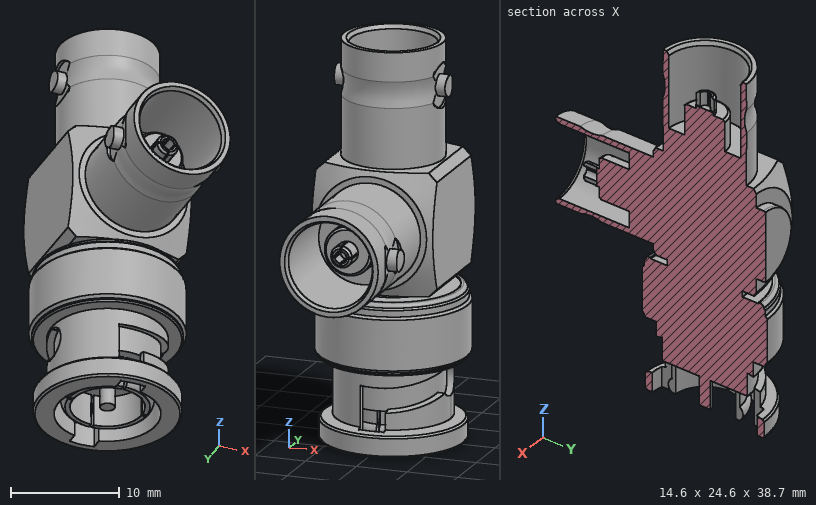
import cadquery as cq
import math


cube_size = 12.0
cube_half = cube_size / 2
cube_chamfer = 0.8
turned_face_radius = 5.5
turned_cone_angle = 30.0

cap_radius = 4.0
cap_end = 7.07
cap_bevel_length = 0.27
cap_bevel_depth = 0.08

jack_end = 17.28
jack_radius = 4.87
jack_bore_radius = 4.15
jack_bore_depth = 8.5
jack_mouth_radius = 4.35
jack_mouth_depth = 0.43
groove_width = 2.55
groove_depth = 0.25
lug_offset = 4.1
lug_radius = 1.05
lug_reach = 5.55
lug_seat_radius = 2.15
lug_seat_distance = 4.55

insulator_radius = 2.35
insulator_depth = 5.02
insulator_chamfer = 0.25
contact_radius = 1.05
contact_depth = 3.15
contact_chamfer = 0.25
contact_hole_radius = 0.58
contact_slit_width = 0.15
contact_slit_depth = 1.55

plug_end = -21.37
neck_radius = 4.4
nut_radius = 7.3
nut_step_radius = 7.05
nut_collar_radius = 6.88
nut_round = 0.4
nut_top = -6.45
nut_step_top = -7.05
nut_step_bottom = -7.65
nut_band_top = -7.9
nut_band_bottom = -12.8
nut_bottom = -13.37
nut_bevel = nut_radius - nut_step_radius
nut_foot_bevel = 0.15
nut_recess_radius = 6.25
nut_recess_depth = 0.1
barrel_radius = 5.65
flange_radius = 6.9
flange_root = -19.0
flange_shoulder = -19.3
flange_bevel = 0.2

plug_bore_radius = 4.95
plug_bore_top = -17.45
sleeve_radius = 3.95
sleeve_inner_radius = 3.48
sleeve_bead_radius = 4.33
sleeve_bead_top = -19.05
sleeve_end = -20.65
sleeve_slit_width = 0.27
pin_radius = 0.7

entry_width = 2.47
entry_top = -15.0
entry_radius = 6.03
ramp_angle = 15.0
ramp_top_at_detent = -13.53
ramp_bottom_at_detent = -15.92
detent_radius = 1.6
detent_height = -15.2


def turned(points):
    """Solid of revolution about Z from a closed outline of (radius, height) points."""
    return cq.Workplane("XZ").polyline(points).close().revolve(360, (0, 0), (0, 1))


def cylinder(radius, bottom, top):
    return cq.Workplane("XY", origin=(0, 0, bottom)).circle(radius).extrude(top - bottom)


def make_cube():
    """Cube with its four long edges chamfered and both Y faces turned to a cone."""
    cube = cq.Workplane("XY").box(cube_size, cube_size, cube_size).edges("|Y").chamfer(cube_chamfer)
    envelope_radius = cube_size
    cone_drop = (envelope_radius - turned_face_radius) * math.tan(math.radians(turned_cone_angle))
    envelope = turned([
        (0, -cube_half),
        (turned_face_radius, -cube_half),
        (envelope_radius, -cube_half + cone_drop),
        (envelope_radius, cube_half - cone_drop),
        (turned_face_radius, cube_half),
        (0, cube_half),
    ])
    return cube.intersect(envelope.rotate((0, 0, 0), (1, 0, 0), 90))


def make_cap():
    cap = turned([
        (0, 0),
        (cap_radius, 0),
        (cap_radius, cap_end - cap_bevel_length),
        (cap_radius - cap_bevel_depth, cap_end),
        (0, cap_end),
    ])
    return cap.rotate((0, 0, 0), (1, 0, 0), -90)


def make_jack_shell():
    """Tube with a flared mouth, a shallow round groove and two flat lug seats."""
    bore_floor = jack_end - jack_bore_depth
    lug_height = jack_end - lug_offset
    groove_top = lug_height + groove_width / 2
    groove_bottom = lug_height - groove_width / 2
    shell = (
        cq.Workplane("XZ")
        .moveTo(0, 0)
        .lineTo(jack_radius, 0)
        .lineTo(jack_radius, groove_bottom)
        .threePointArc((jack_radius - groove_depth, lug_height), (jack_radius, groove_top))
        .lineTo(jack_radius, jack_end)
        .lineTo(jack_mouth_radius, jack_end)
        .lineTo(jack_bore_radius, jack_end - jack_mouth_depth)
        .lineTo(jack_bore_radius, bore_floor)
        .lineTo(0, bore_floor)
        .close()
        .revolve(360, (0, 0), (0, 1))
    )
    for side in (1, -1):
        seat_plane = cq.Workplane("YZ", origin=(side * lug_seat_distance, 0, lug_height))
        shell = shell.cut(seat_plane.circle(lug_seat_radius).extrude(side * jack_radius))
    return shell


def make_lugs():
    """Two bayonet lugs whose ends follow a cylinder about the jack axis."""
    lug_height = jack_end - lug_offset
    bar = cq.Workplane("YZ", origin=(0, 0, lug_height)).circle(lug_radius).extrude(lug_reach, both=True)
    bottom = lug_height - lug_radius
    top = lug_height + lug_radius
    wall_middle = (jack_bore_radius + lug_seat_distance) / 2
    return bar.intersect(cylinder(lug_reach, bottom, top)).cut(cylinder(wall_middle, bottom, top))


def make_jack_core():
    """Insulator post with a slit socket contact standing out of it."""
    bore_floor = jack_end - jack_bore_depth
    insulator_end = jack_end - insulator_depth
    contact_end = jack_end - contact_depth
    slit_floor = contact_end - contact_slit_depth
    insulator = cylinder(insulator_radius, bore_floor, insulator_end).faces(">Z").chamfer(insulator_chamfer)
    contact = cylinder(contact_radius, bore_floor, contact_end).faces(">Z").chamfer(contact_chamfer)
    contact = contact.cut(cylinder(contact_hole_radius, slit_floor, contact_end))
    slit = cq.Workplane("XY", origin=(0, 0, slit_floor)).rect(2 * contact_radius, contact_slit_width)
    slit = slit.extrude(contact_slit_depth)
    for angle in (0, 90):
        contact = contact.cut(slit.rotate((0, 0, 0), (0, 0, 1), angle))
    return insulator.union(contact)


def make_jack():
    return make_jack_shell().union(make_lugs()).union(make_jack_core())


def make_plug_body():
    """Neck, coupling nut, barrel and flange as one turned solid, open at the bottom."""
    recess_floor = nut_top - nut_recess_depth
    round_centre_radius = nut_collar_radius - nut_round
    round_centre_height = nut_top - nut_round
    round_middle = nut_round * math.sin(math.radians(45))
    return (
        cq.Workplane("XZ")
        .moveTo(0, 0)
        .lineTo(neck_radius, 0)
        .lineTo(neck_radius, recess_floor)
        .lineTo(nut_recess_radius, recess_floor)
        .lineTo(nut_recess_radius, nut_top)
        .lineTo(round_centre_radius, nut_top)
        .threePointArc(
            (round_centre_radius + round_middle, round_centre_height + round_middle),
            (nut_collar_radius, round_centre_height),
        )
        .lineTo(nut_step_radius, nut_step_top)
        .lineTo(nut_step_radius, nut_step_bottom)
        .lineTo(nut_radius, nut_band_top)
        .lineTo(nut_radius, nut_band_bottom)
        .lineTo(nut_step_radius, nut_band_bottom - nut_bevel)
        .lineTo(nut_step_radius, nut_bottom + nut_foot_bevel)
        .lineTo(nut_step_radius - nut_foot_bevel, nut_bottom)
        .lineTo(barrel_radius, nut_bottom)
        .lineTo(barrel_radius, flange_root)
        .lineTo(flange_radius - flange_bevel, flange_shoulder)
        .lineTo(flange_radius, flange_shoulder - flange_bevel)
        .lineTo(flange_radius, plug_end + flange_bevel)
        .lineTo(flange_radius - flange_bevel, plug_end)
        .lineTo(plug_bore_radius, plug_end)
        .lineTo(plug_bore_radius, plug_bore_top)
        .lineTo(0, plug_bore_top)
        .close()
        .revolve(360, (0, 0), (0, 1))
    )


def make_sleeve():
    """Thin sleeve with a rounded bead at its lower end and four slits."""
    bead_middle = (sleeve_bead_top + sleeve_end) / 2
    sleeve = (
        cq.Workplane("XZ")
        .moveTo(sleeve_inner_radius, plug_bore_top)
        .lineTo(sleeve_radius, plug_bore_top)
        .lineTo(sleeve_radius, sleeve_bead_top)
        .threePointArc((sleeve_bead_radius, bead_middle), (sleeve_radius, sleeve_end))
        .lineTo(sleeve_inner_radius, sleeve_end)
        .close()
        .revolve(360, (0, 0), (0, 1))
    )
    slit = cq.Workplane("XY", origin=(0, 0, sleeve_end)).rect(3 * sleeve_radius, sleeve_slit_width)
    slit = slit.extrude(plug_bore_top - sleeve_end)
    for angle in (0, 90):
        sleeve = sleeve.cut(slit.rotate((0, 0, 0), (0, 0, 1), angle))
    return sleeve


def make_bayonet_slot():
    """Slot entering at +Y, inside the flange, and climbing to a round detent at -X."""
    reach = flange_radius
    ramp_fall = reach * math.tan(math.radians(ramp_angle))
    entry = (
        cq.Workplane("XY", origin=(0, reach / 2, plug_end))
        .rect(entry_width, reach)
        .extrude(entry_top - plug_end)
        .intersect(cylinder(entry_radius, plug_end, entry_top))
    )
    ramp = (
        cq.Workplane("YZ", origin=(entry_width / 2, 0, 0))
        .polyline([
            (0, ramp_top_at_detent),
            (reach, ramp_top_at_detent - ramp_fall),
            (reach, ramp_bottom_at_detent - ramp_fall),
            (0, ramp_bottom_at_detent),
        ])
        .close()
        .extrude(-reach - entry_width / 2)
    )
    detent = cq.Workplane("YZ", origin=(0, 0, detent_height)).circle(detent_radius).extrude(-reach)
    core = cylinder(plug_bore_radius, plug_end, nut_top)
    return entry.union(ramp).union(detent).cut(core)


def make_plug():
    plug = make_plug_body()
    slot = make_bayonet_slot()
    for angle in (0, 180):
        plug = plug.cut(slot.rotate((0, 0, 0), (0, 0, 1), angle))
    pin = cylinder(pin_radius, sleeve_end, plug_bore_top)
    return plug.union(make_sleeve()).union(pin)


jack = make_jack()
front_jack = jack.rotate((0, 0, 0), (1, 0, 0), 90)

result = make_cube().union(make_cap()).union(make_plug()).union(jack).union(front_jack)